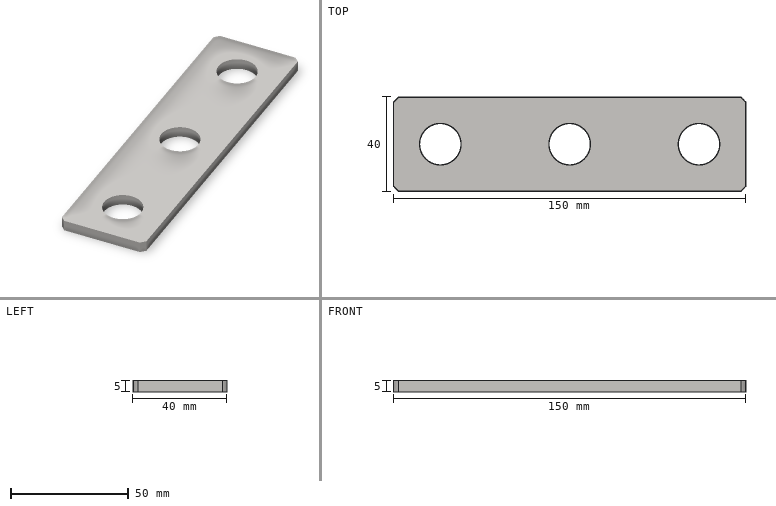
import cadquery as cq

length = 150.0
width = 40.0
thickness = 5.0
corner_chamfer = 2.1

hole_diameter = 17.5
hole_pitch = 55.0
hole_count = 3

plate = cq.Workplane("XY").box(length, width, thickness)
plate = plate.edges("|Z").chamfer(corner_chamfer)

result = (
    plate.faces(">Z")
    .workplane()
    .rarray(hole_pitch, width, hole_count, 1)
    .hole(hole_diameter)
)